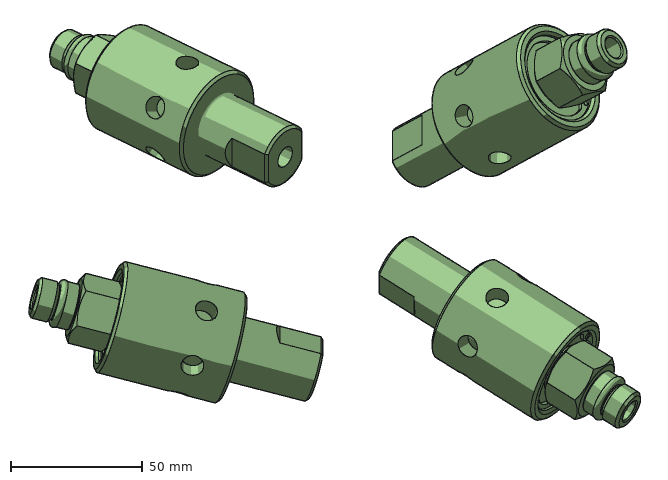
import cadquery as cq
import math

overall_length = 111.9
hex_start = 15.9
hex_end = 31.8
housing_start = 29.8
housing_end = 78.7
spanner_hole_x = 63.0
flat_start = 94.5
edge_chamfer = 1.1

bore_diameter = 8.5
nipple_diameter = 16.0
nipple_length = 8.3
nipple_chamfer = 1.1
bore_chamfer = 0.6
neck_diameter = 13.5
shoulder_diameter = 18.0
shoulder_chamfer = 0.5
seal_x = 10.0
seal_outer_diameter = 18.8
seal_section_diameter = 3.0
hex_across_flats = 23.8
hex_face_diameter = 22.8
hex_chamfer_angle = 30.0
collar_diameter = 19.8

housing_diameter = 43.8
stem_diameter = 25.4
stem_fillet = 1.0
stem_end_chamfer = 1.0
flat_across = 21.7
spanner_hole_diameter = 8.6
spanner_hole_count = 6
spanner_floor_radius = 14.4

mouth_diameter = 37.3
recess_diameter = 35.0
mouth_chamfer = 1.0
ring_depth = 2.0
ring_thickness = 1.5
ring_inner_radius = 15.4
lug_hole_diameter = 2.0
lug_radius = 2.1
lug_y = -15.3
lug_z = 4.5

ring_front = housing_start + ring_depth
recess_floor = ring_front + ring_thickness
arc_midpoint = math.sin(math.radians(45))


def x_cylinder(start, end, diameter):
    """Cylinder on the X axis between two stations."""
    return cq.Workplane("YZ", origin=(start, 0, 0)).circle(diameter / 2).extrude(end - start)


def make_nipple():
    """Turned spigot: chamfered nipple, neck and shoulder in front of the hexagon."""
    nipple_radius = nipple_diameter / 2
    neck_radius = neck_diameter / 2
    shoulder_radius = shoulder_diameter / 2
    back_chamfer = nipple_radius - neck_radius
    return (
        cq.Workplane("XY")
        .moveTo(0, 0)
        .lineTo(0, nipple_radius - nipple_chamfer)
        .lineTo(nipple_chamfer, nipple_radius)
        .lineTo(nipple_length - back_chamfer, nipple_radius)
        .lineTo(nipple_length, neck_radius)
        .lineTo(seal_x, neck_radius)
        .lineTo(seal_x, shoulder_radius)
        .lineTo(hex_start - shoulder_chamfer, shoulder_radius)
        .lineTo(hex_start, shoulder_radius - shoulder_chamfer)
        .lineTo(hex_start, 0)
        .close()
        .revolve(360, (0, 0, 0), (1, 0, 0))
    )


def make_seal_ring():
    """Round-section ring in front of the shoulder."""
    section_radius = seal_section_diameter / 2
    section_centre = seal_outer_diameter / 2 - section_radius
    return (
        cq.Workplane("XY")
        .center(seal_x, section_centre)
        .circle(section_radius)
        .revolve(360, (0, -section_centre, 0), (1, -section_centre, 0))
    )


def make_hexagon():
    """Hexagon with corners up and down and a conical lead at both ends."""
    corner_radius = hex_across_flats / math.sqrt(3)
    face_radius = hex_face_diameter / 2
    lead = (corner_radius - face_radius) * math.tan(math.radians(hex_chamfer_angle))
    prism = (
        cq.Workplane("YZ", origin=(hex_start, 0, 0))
        .transformed(rotate=(0, 0, 90))
        .polygon(6, 2 * corner_radius)
        .extrude(hex_end - hex_start)
    )
    envelope = (
        cq.Workplane("XY")
        .moveTo(hex_start, 0)
        .lineTo(hex_start, face_radius)
        .lineTo(hex_start + lead, corner_radius)
        .lineTo(hex_end - lead, corner_radius)
        .lineTo(hex_end, face_radius)
        .lineTo(hex_end, 0)
        .close()
        .revolve(360, (0, 0, 0), (1, 0, 0))
    )
    return prism.intersect(envelope)


def make_rotor():
    """Rotor with its through bore, resting on the floor of the housing recess."""
    collar = x_cylinder(hex_end, recess_floor, collar_diameter)
    rotor = make_nipple().union(make_seal_ring()).union(make_hexagon()).union(collar)
    rotor = rotor.cut(x_cylinder(0, recess_floor, bore_diameter))
    bore_mouth = rotor.faces("<X").edges(cq.selectors.RadiusNthSelector(0))
    return bore_mouth.chamfer(bore_chamfer)


def make_retaining_ring():
    """Open ring with two drilled lugs beside the gap on the -Y side."""
    outer_radius = recess_diameter / 2
    plane = cq.Workplane("YZ", origin=(ring_front, 0, 0))
    outer = plane.circle(outer_radius).extrude(ring_thickness)
    ring = outer.cut(plane.circle(ring_inner_radius).extrude(ring_thickness))
    gap_half = lug_z - lug_radius
    gap = plane.center(-outer_radius, 0).rect(outer_radius, 2 * gap_half).extrude(ring_thickness)
    ring = ring.cut(gap)
    for side in (1, -1):
        centre_z = side * lug_z
        root_z = side * math.sqrt(ring_inner_radius**2 - (lug_y + lug_radius) ** 2)
        lug = (
            plane.moveTo(lug_y, side * gap_half)
            .threePointArc(
                (
                    lug_y + lug_radius * arc_midpoint,
                    centre_z - side * lug_radius * arc_midpoint,
                ),
                (lug_y + lug_radius, centre_z),
            )
            .lineTo(lug_y + lug_radius, root_z)
            .lineTo(-outer_radius, root_z)
            .lineTo(-outer_radius, side * gap_half)
            .close()
            .extrude(ring_thickness)
        )
        lug_hole = plane.center(lug_y, centre_z).circle(lug_hole_diameter / 2).extrude(ring_thickness)
        ring = ring.union(lug.intersect(outer)).cut(lug_hole)
    return ring


def make_housing_blank():
    """Chamfered drum with a plain round stem filleted onto its rear face."""
    drum_radius = housing_diameter / 2
    stem_radius = stem_diameter / 2
    fillet_end = housing_end + stem_fillet
    arc_mid_offset = stem_fillet * (1 - arc_midpoint)
    return (
        cq.Workplane("XY")
        .moveTo(housing_start, 0)
        .lineTo(housing_start, drum_radius - edge_chamfer)
        .lineTo(housing_start + edge_chamfer, drum_radius)
        .lineTo(housing_end - edge_chamfer, drum_radius)
        .lineTo(housing_end, drum_radius - edge_chamfer)
        .lineTo(housing_end, stem_radius + stem_fillet)
        .threePointArc(
            (housing_end + arc_mid_offset, stem_radius + arc_mid_offset),
            (fillet_end, stem_radius),
        )
        .lineTo(overall_length, stem_radius)
        .lineTo(overall_length, 0)
        .close()
        .revolve(360, (0, 0, 0), (1, 0, 0))
    )


def make_recess():
    """Round recess in the front face with a conical mouth."""
    mouth_radius = mouth_diameter / 2
    recess_radius = recess_diameter / 2
    return (
        cq.Workplane("XY")
        .moveTo(housing_start, 0)
        .lineTo(housing_start, mouth_radius)
        .lineTo(housing_start + mouth_chamfer, recess_radius)
        .lineTo(recess_floor, recess_radius)
        .lineTo(recess_floor, 0)
        .close()
        .revolve(360, (0, 0, 0), (1, 0, 0))
    )


def make_spanner_holes():
    """Radial blind holes whose floors lie on a common cylinder."""
    holes = []
    core = x_cylinder(housing_start, housing_end, 2 * spanner_floor_radius)
    for index in range(spanner_hole_count):
        hole = (
            cq.Workplane("XY", origin=(spanner_hole_x, 0, 0))
            .circle(spanner_hole_diameter / 2)
            .extrude(housing_diameter)
            .cut(core)
            .rotate((0, 0, 0), (1, 0, 0), index * 360 / spanner_hole_count)
        )
        holes.append(hole)
    return holes


def make_stem_flat(side):
    """Cutter for one wrench flat on the stem, with a 45 degree run-out."""
    flat_y = flat_across / 2
    run_out = stem_diameter / 2
    return (
        cq.Workplane("XY")
        .moveTo(flat_start, side * flat_y)
        .lineTo(overall_length, side * flat_y)
        .lineTo(overall_length, side * (flat_y + run_out))
        .lineTo(flat_start - run_out, side * (flat_y + run_out))
        .close()
        .extrude(stem_diameter / 2, both=True)
    )


def make_housing():
    """Housing with the retaining ring formed in its recess."""
    housing = make_housing_blank()
    for side in (1, -1):
        housing = housing.cut(make_stem_flat(side))
    housing = housing.faces(">X").edges().chamfer(stem_end_chamfer)
    housing = housing.cut(make_recess()).union(make_retaining_ring())
    for hole in make_spanner_holes():
        housing = housing.cut(hole)
    return housing.cut(x_cylinder(recess_floor, overall_length, bore_diameter))


rotor = make_rotor().solids()
housing = make_housing().solids()

result = cq.Compound.makeCompound([rotor.val(), housing.val()])